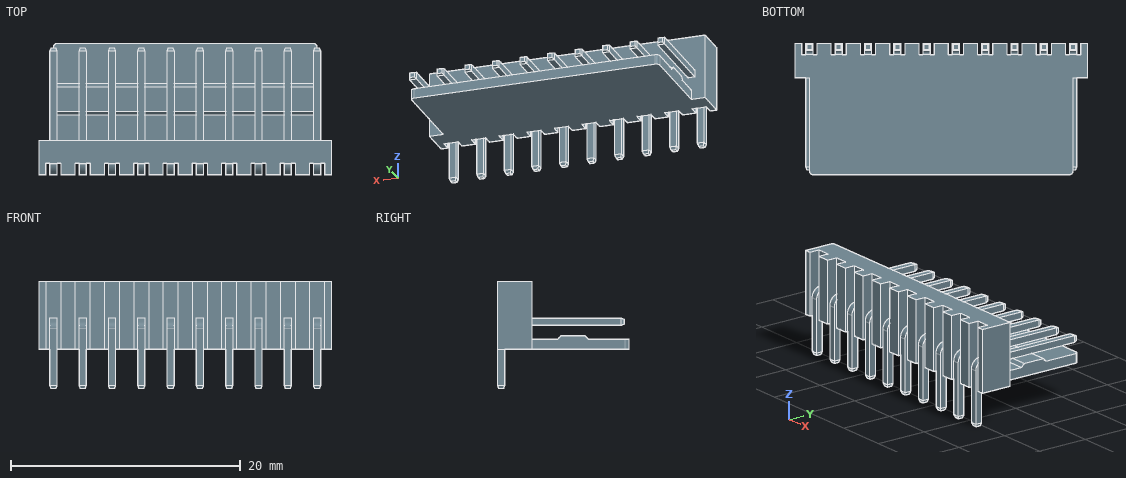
import cadquery as cq
import math


pin_count = 10
pitch = 2.55
row_length = pin_count * pitch
pin_positions = [(i - (pin_count - 1) / 2) * pitch for i in range(pin_count)]

housing_depth = 3.0
housing_height = 5.9
groove_width = 1.3
groove_depth = 1.0

tongue_end = 11.4
tongue_length = tongue_end - housing_depth
tongue_width = 22.85
tongue_thickness = 0.9
tongue_corner_radius = 0.33

bar_start = 5.2
bar_end = 7.9
bar_rise = 0.3

pin_size = 0.64
pin_top = 2.72
pin_rear_end = 11.0
pin_lower_end = -3.4
bend_outer_radius = 0.91
bend_inner_radius = bend_outer_radius - pin_size
tip_length = 0.28
tip_inset = 0.1


def make_housing():
    block = cq.Workplane("XY").box(
        row_length, housing_depth, housing_height, centered=(True, False, False)
    )
    groove = cq.Workplane("XY").box(
        groove_width, groove_depth, housing_height, centered=(True, False, False)
    )
    for x in pin_positions:
        block = block.cut(groove.translate((x, 0, 0)))
    return block


def make_tongue():
    plate = (
        cq.Workplane("XY")
        .box(tongue_width, tongue_length, tongue_thickness, centered=(True, False, False))
        .translate((0, housing_depth, 0))
        .edges("|Z and >Y")
        .fillet(tongue_corner_radius)
    )
    bar = (
        cq.Workplane("YZ")
        .moveTo(bar_start, 0)
        .lineTo(bar_start, tongue_thickness)
        .lineTo(bar_start + bar_rise, tongue_thickness + bar_rise)
        .lineTo(bar_end - bar_rise, tongue_thickness + bar_rise)
        .lineTo(bar_end, tongue_thickness)
        .lineTo(bar_end, 0)
        .close()
        .extrude(tongue_width / 2, both=True)
    )
    return plate.union(bar)


def make_tip(base_plane):
    """Square taper that starts on base_plane and narrows along its normal."""
    taper_angle = math.degrees(math.atan2(tip_inset, tip_length))
    return cq.Workplane(base_plane).rect(pin_size, pin_size).extrude(tip_length, taper=taper_angle)


def make_pin():
    rear_shoulder = pin_rear_end - tip_length
    lower_shoulder = pin_lower_end + tip_length
    pin_bottom = pin_top - pin_size
    bend_z = pin_top - bend_outer_radius
    diagonal = math.sqrt(0.5)
    outer_mid = (
        bend_outer_radius * (1 - diagonal),
        bend_z + bend_outer_radius * diagonal,
    )
    inner_mid = (
        bend_outer_radius - bend_inner_radius * diagonal,
        bend_z + bend_inner_radius * diagonal,
    )
    shank = (
        cq.Workplane("YZ")
        .moveTo(0, lower_shoulder)
        .lineTo(0, bend_z)
        .threePointArc(outer_mid, (bend_outer_radius, pin_top))
        .lineTo(rear_shoulder, pin_top)
        .lineTo(rear_shoulder, pin_bottom)
        .lineTo(bend_outer_radius, pin_bottom)
        .threePointArc(inner_mid, (pin_size, bend_z))
        .lineTo(pin_size, lower_shoulder)
        .close()
        .extrude(pin_size / 2, both=True)
    )
    rear_plane = cq.Plane(
        origin=(0, rear_shoulder, pin_top - pin_size / 2), xDir=(1, 0, 0), normal=(0, 1, 0)
    )
    lower_plane = cq.Plane(
        origin=(0, pin_size / 2, lower_shoulder), xDir=(1, 0, 0), normal=(0, 0, -1)
    )
    return shank.union(make_tip(rear_plane)).union(make_tip(lower_plane))


result = make_housing().union(make_tongue())
pin = make_pin()
for pin_x in pin_positions:
    result = result.union(pin.translate((pin_x, 0, 0)))